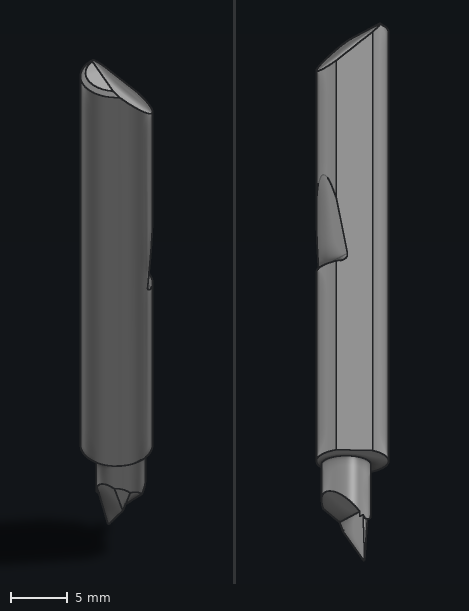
import cadquery as cq
import math

length = 50.45
shank_radius = 3.2
shank_bottom = 9.9
chamfer_width = 0.45
chamfer_height = 0.35
flat_angle = 150.0
flat_distance = shank_radius * math.cos(math.radians(30))
top_bevel_y = -1.3

notch_top = 36.05
notch_bottom = 27.55
notch_root_y = 1.8
notch_root_z = 27.75
notch_fillet = 0.6

neck_radius = 2.15
neck_x = shank_radius - neck_radius
rake_top = 4.8
rake_runout_height = 2.05

head_top = 4.35
tip_x = -1.75
tip_slope = 1.14
tip_relief = 1.65
heel_x = 1.45
heel_slope = 1.82
heel_relief = 1.0
side_x = -1.9
side_lean = 0.055
side_relief = 1.06
corner_slope = -1.2
corner_relief = 1.0

runout_x = -1.1
runout_y = -0.45
runout_slope_x = 1.6
runout_slope_y = 0.5

tool_size = 4 * length


def half_space(origin, normal):
    """Large block on the side of a plane that its normal points to."""
    plane = cq.Plane(origin=origin, normal=normal)
    return cq.Workplane(plane).rect(tool_size, tool_size).extrude(tool_size)


def prism_along_x(points):
    """Extrude a Y-Z outline through the full width of the part."""
    return cq.Workplane("YZ").polyline(points).close().extrude(shank_radius * 2, both=True)


def make_shank():
    edge_radius = shank_radius - chamfer_width
    profile = [
        (0, shank_bottom),
        (shank_radius, shank_bottom),
        (shank_radius, length - chamfer_height),
        (edge_radius, length),
        (0, length),
    ]
    shank = cq.Workplane("XZ").polyline(profile).close().revolve(360, (0, 0, 0), (0, 1, 0))
    shank = shank.cut(half_space((0, top_bevel_y, length), (0, 1, 1)))

    angle = math.radians(flat_angle)
    flat_normal = (math.cos(angle), math.sin(angle), 0)
    flat_origin = (flat_distance * flat_normal[0], flat_distance * flat_normal[1], 0)
    shank = shank.cut(half_space(flat_origin, flat_normal))

    notch = prism_along_x([
        (shank_radius, notch_top),
        (notch_root_y, notch_root_z),
        (shank_radius, notch_bottom),
    ])
    root_edge = cq.selectors.NearestToPointSelector((0, notch_root_y, notch_root_z))
    return shank.cut(notch.edges("|X").edges(root_edge).fillet(notch_fillet))


def make_neck(side_space):
    neck = cq.Workplane("XY").center(neck_x, 0).circle(neck_radius).extrude(shank_bottom)
    runout = half_space((runout_x, runout_y, head_top), (runout_slope_x, runout_slope_y, -1))
    return neck.cut(side_space.intersect(runout))


def make_head(side_space):
    blank = cq.Workplane("XY").center(neck_x, 0).circle(neck_radius).extrude(head_top)
    overhang = cq.Workplane("XY").box(
        neck_x - side_x, neck_radius, head_top, centered=False
    ).translate((side_x, -neck_radius, 0))
    return blank.union(overhang).cut(side_space)


def cut_end_faces(body):
    rake = prism_along_x([
        (0, 0),
        (0, rake_top),
        (neck_radius, rake_top + rake_runout_height),
        (neck_radius, 0),
    ])
    heel_z = tip_slope * (heel_x - tip_x)
    body = body.cut(rake)
    body = body.cut(half_space((tip_x, 0, 0), (tip_slope, -tip_relief, -1)))
    body = body.cut(half_space((heel_x, 0, heel_z), (heel_slope, -heel_relief, -1)))
    body = body.cut(half_space((heel_x, 0, heel_z), (heel_slope, 0, -1)))
    return body.cut(half_space((tip_x, 0, 0), (corner_slope, -corner_relief, -1)))


side_space = half_space((side_x, 0, 0), (-1, -side_relief, side_lean))
cutting_end = cut_end_faces(make_neck(side_space).union(make_head(side_space)))
result = make_shank().union(cutting_end)